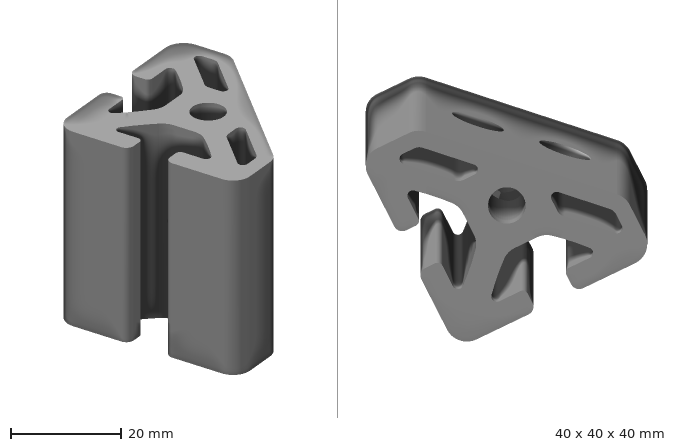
import cadquery as cq
import math

SIZE = 40.0
HALF = SIZE / 2
CUT_SUM = 11.8
CORNER_RADIUS = 4.0
END_CORNER_RADIUS = 3.7

MOUTH_HALF_WIDTH = 3.9
LIP_THICKNESS = 4.55
SLOT_DEPTH = 12.25
FLOOR_HALF_WIDTH = 3.7
LIP_OUTER_RADIUS = 1.6
LIP_INNER_RADIUS = 1.0
SLOT_TIP_RADIUS = 1.0
FLOOR_RADIUS = 4.0
TIP_HALF_WIDTH = 11.3
FLANK_BULGE = 0.3

WALL = 3.0
POCKET_WIDTH = 3.95
POCKET_TIP_RADIUS = 1.0
POCKET_BEND_RADIUS = 2.0

CORE_DIAMETER = 6.8
CROSS_DIAMETER = 7.0


def prism(points):
    """Full-height prism from an XY outline, centred on the origin."""
    return cq.Workplane("XY").polyline(points).close().extrude(HALF, both=True)


def round_edges(body, points, radius):
    """Round the vertical edges that pass through the given XY points."""
    for x, y in points:
        body = body.edges(cq.selectors.NearestToPointSelector((x, y, 0))).fillet(radius)
    return body


def swap_axes(body):
    """Swap X and Y by a half turn about the line x = y (bodies are symmetric in Z)."""
    return body.rotate((0, 0, 0), (1, 1, 0), 180)


def make_block():
    cut_end = CUT_SUM - HALF
    end_corner = (HALF, -HALF)
    other_corners = [(HALF, cut_end), (cut_end, HALF), (-HALF, HALF), (-HALF, -HALF)]
    block = prism([end_corner] + other_corners)
    block = round_edges(block, other_corners, CORNER_RADIUS)
    return round_edges(block, [end_corner], END_CORNER_RADIUS)


def make_t_slot():
    """Cavity of the slot that opens through the -X side."""
    lip_x = -HALF + LIP_THICKNESS
    floor_x = -HALF + SLOT_DEPTH
    chord_x = floor_x - lip_x
    chord_y = TIP_HALF_WIDTH - FLOOR_HALF_WIDTH
    chord = math.hypot(chord_x, chord_y)
    bow_x = (lip_x + floor_x) / 2 + FLANK_BULGE * chord_y / chord
    bow_y = (TIP_HALF_WIDTH + FLOOR_HALF_WIDTH) / 2 + FLANK_BULGE * chord_x / chord
    slot = (
        cq.Workplane("XY")
        .moveTo(-HALF, -MOUTH_HALF_WIDTH)
        .lineTo(lip_x, -MOUTH_HALF_WIDTH)
        .lineTo(lip_x, -TIP_HALF_WIDTH)
        .threePointArc((bow_x, -bow_y), (floor_x, -FLOOR_HALF_WIDTH))
        .lineTo(floor_x, FLOOR_HALF_WIDTH)
        .threePointArc((bow_x, bow_y), (lip_x, TIP_HALF_WIDTH))
        .lineTo(lip_x, MOUTH_HALF_WIDTH)
        .lineTo(-HALF, MOUTH_HALF_WIDTH)
        .close()
        .extrude(HALF, both=True)
    )
    rounded_corners = [
        (lip_x, MOUTH_HALF_WIDTH, LIP_INNER_RADIUS),
        (lip_x, TIP_HALF_WIDTH, SLOT_TIP_RADIUS),
        (floor_x, FLOOR_HALF_WIDTH, FLOOR_RADIUS),
    ]
    for x, y, radius in rounded_corners:
        slot = round_edges(slot, [(x, y), (x, -y)], radius)
    return slot


def make_pocket():
    """Parallelogram pocket next to the +Y side."""
    top = HALF - WALL
    bottom = HALF - SLOT_DEPTH
    outer_sum = CUT_SUM - WALL * math.sqrt(2)
    inner_sum = outer_sum - POCKET_WIDTH * math.sqrt(2)
    tips = [(inner_sum - top, top), (outer_sum - bottom, bottom)]
    bends = [(outer_sum - top, top), (inner_sum - bottom, bottom)]
    pocket = prism([tips[0], bends[0], tips[1], bends[1]])
    pocket = round_edges(pocket, tips, POCKET_TIP_RADIUS)
    return round_edges(pocket, bends, POCKET_BEND_RADIUS)


def make_bore(plane, diameter):
    return cq.Workplane(plane).circle(diameter / 2).extrude(HALF, both=True)


result = make_block()

for cavity in (make_t_slot(), make_pocket()):
    result = result.cut(cavity).cut(swap_axes(cavity))

for side in (-MOUTH_HALF_WIDTH, MOUTH_HALF_WIDTH):
    result = round_edges(result, [(-HALF, side), (side, -HALF)], LIP_OUTER_RADIUS)

result = result.cut(make_bore("XY", CORE_DIAMETER))
for plane in ("YZ", "XZ"):
    result = result.cut(make_bore(plane, CROSS_DIAMETER))